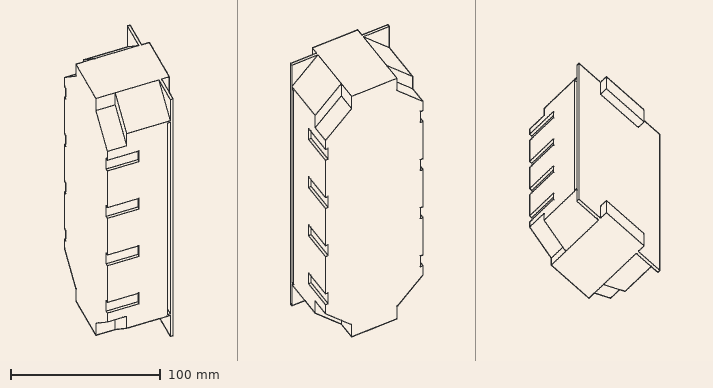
import cadquery as cq

WIDTH = 75.0
DEPTH = 53.0
HEIGHT = 225.0

STEP_DEPTH = 14.0
PLATE_THICKNESS = 2.0
PLATE_BACK = 47.5
PLATE_FRONT = PLATE_BACK - PLATE_THICKNESS

BEVEL = 20.0
STEP_DROP = 11.5

GAP_THICKNESS = 2.0
GAP_END_MARGIN = 21.5

RECESS_DEPTH = 2.0
RECESS_LENGTH = 23.0
RECESS_HEIGHT = 10.1
RECESS_PITCH = 45.0
RECESS_COUNT = 4


def box(x_size, z_size, y_start, y_end, x=0, z=0):
    """Box centred on (x, z) that spans y_start to y_end."""
    y_size = y_end - y_start
    return cq.Workplane("XY").box(x_size, y_size, z_size).translate((x, y_start + y_size / 2, z))


def bevelled_slab(y_start, y_end, drop):
    """Body slab whose four bevels start at the given drop below the top and above the bottom."""
    half_width = WIDTH / 2
    half_height = HEIGHT / 2
    inner_x = half_width - BEVEL
    bevel_top = half_height - drop
    bevel_bottom = bevel_top - BEVEL
    flanks = (
        cq.Workplane("XZ", origin=(0, y_start, 0))
        .moveTo(-inner_x, bevel_top)
        .lineTo(inner_x, bevel_top)
        .lineTo(half_width, bevel_bottom)
        .lineTo(half_width, -bevel_bottom)
        .lineTo(inner_x, -bevel_top)
        .lineTo(-inner_x, -bevel_top)
        .lineTo(-half_width, -bevel_bottom)
        .lineTo(-half_width, bevel_bottom)
        .close()
        .extrude(y_start - y_end)
    )
    return flanks.union(box(2 * inner_x, HEIGHT, y_start, y_end))


def back_tabs():
    """Two tabs on the back plate, in line with the bevels at the top and the bottom."""
    tabs = cq.Workplane("XY")
    for end in (-1, 1):
        tab_z = end * (HEIGHT - BEVEL) / 2
        tabs = tabs.add(box(WIDTH - 2 * BEVEL, BEVEL, PLATE_BACK, DEPTH, z=tab_z))
    return tabs.combine()


def side_recesses():
    """Rows of shallow recesses on both sides, open to the front face."""
    recesses = cq.Workplane("XY")
    for side in (-1, 1):
        recess_x = side * (WIDTH - RECESS_DEPTH) / 2
        for index in range(RECESS_COUNT):
            recess_z = (index - (RECESS_COUNT - 1) / 2) * RECESS_PITCH
            recesses = recesses.add(
                box(RECESS_DEPTH, RECESS_HEIGHT, 0, RECESS_LENGTH, recess_x, recess_z)
            )
    return recesses.combine()


body = bevelled_slab(0, STEP_DEPTH, STEP_DROP).union(bevelled_slab(STEP_DEPTH, PLATE_FRONT, 0))
plate = box(WIDTH, HEIGHT, PLATE_FRONT, PLATE_BACK)
gap = box(WIDTH, HEIGHT - 2 * GAP_END_MARGIN, PLATE_FRONT - GAP_THICKNESS, PLATE_FRONT)

result = body.cut(side_recesses()).union(plate).union(back_tabs()).cut(gap)